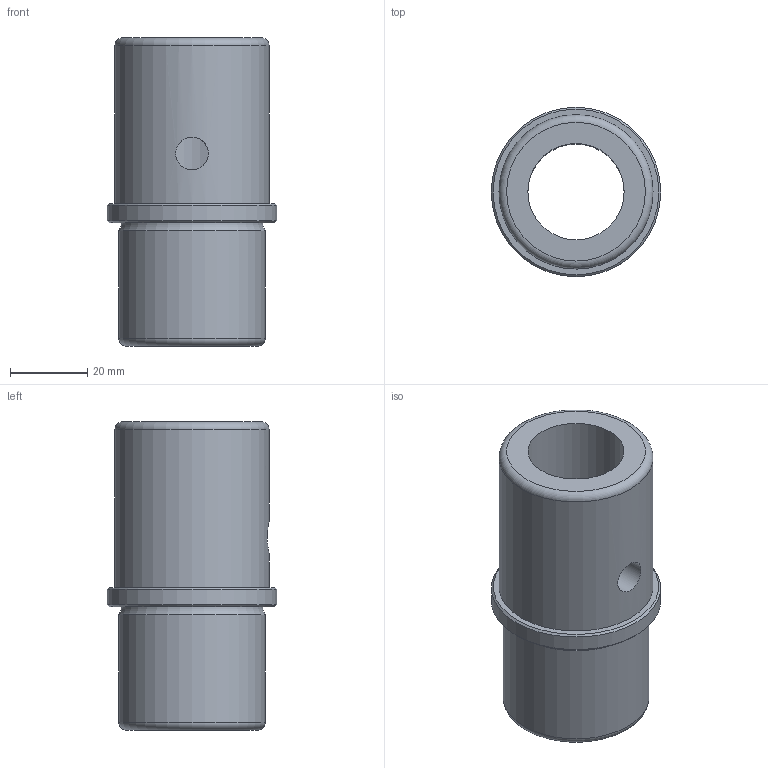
import cadquery as cq

total_height = 80.0
bore_diameter = 25.0
end_fillet = 2.0

lower_diameter = 38.0
upper_diameter = 40.0
collar_diameter = 44.0
collar_bottom = 32.0
collar_thickness = 5.0
collar_chamfer = 0.5

groove_width = 2.0
groove_depth = 0.7

cross_hole_diameter = 8.5
cross_hole_height = 50.0


def cylinder(diameter, bottom, top):
    """Solid cylinder on the Z axis between two heights."""
    return cq.Workplane("XY").workplane(offset=bottom).circle(diameter / 2).extrude(top - bottom)


def lower_body():
    """Lower spigot with a rounded bottom rim."""
    return cylinder(lower_diameter, 0, collar_bottom).faces("<Z").edges().fillet(end_fillet)


def upper_body():
    """Upper spigot with a rounded top rim."""
    return cylinder(upper_diameter, collar_bottom, total_height).faces(">Z").edges().fillet(end_fillet)


def collar():
    """Collar with both outer rims chamfered."""
    ring = cylinder(collar_diameter, collar_bottom, collar_bottom + collar_thickness)
    return ring.faces("<Z or >Z").edges().chamfer(collar_chamfer)


def relief_groove():
    """Ring cut whose concave wall is upright at the collar and flares out to the lower spigot."""
    outer_radius = lower_diameter / 2
    groove_bottom = collar_bottom - groove_width
    flare_radius = (groove_width**2 + groove_depth**2) / (2 * groove_depth)
    floor_radius = outer_radius - groove_depth
    mid_height = collar_bottom - groove_width / 2
    mid_radius = floor_radius + flare_radius - (flare_radius**2 - (groove_width / 2) ** 2) ** 0.5
    profile = (
        cq.Workplane("XZ")
        .moveTo(outer_radius, groove_bottom)
        .threePointArc((mid_radius, mid_height), (floor_radius, collar_bottom))
        .lineTo(outer_radius, collar_bottom)
        .close()
    )
    return profile.revolve(360, (0, 0, 0), (0, 1, 0))


def cross_hole():
    """Radial hole from the axis out through the -Y wall."""
    return (
        cq.Workplane("XZ")
        .center(0, cross_hole_height)
        .circle(cross_hole_diameter / 2)
        .extrude(collar_diameter / 2)
    )


bore = cylinder(bore_diameter, 0, total_height)

result = (
    lower_body()
    .cut(relief_groove())
    .union(upper_body())
    .union(collar())
    .cut(bore)
    .cut(cross_hole())
)